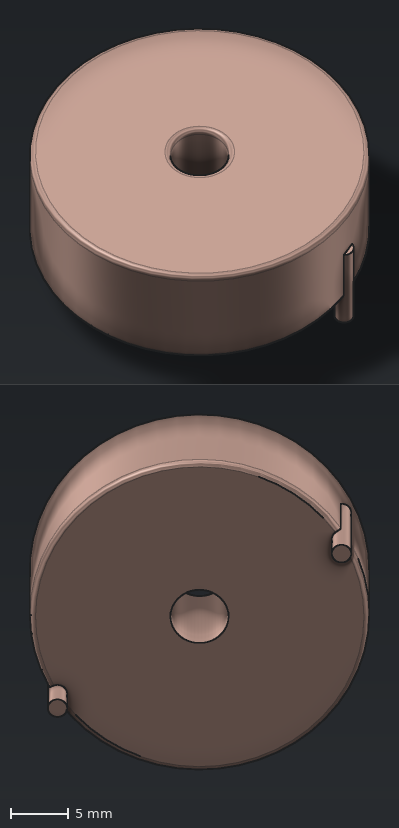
import cadquery as cq

body_diameter = 29.8
body_height = 10.5
edge_radius = 0.5

hole_diameter = 5.1

pin_diameter = 1.7
pin_span = 30.7
pin_drop = 3.1
pin_top = 5.7
pin_offset = (pin_span - pin_diameter) / 2


def make_body():
    """Disc with a through hole; both outer rims and the upper hole rim are rounded."""
    disc = cq.Workplane("XY").circle(body_diameter / 2).extrude(body_height)
    disc = disc.edges().fillet(edge_radius)
    bore = cq.Workplane("XY").circle(hole_diameter / 2).extrude(body_height)
    upper_hole_rim = cq.selectors.RadiusNthSelector(0)
    return disc.cut(bore).faces(">Z").edges(upper_hole_rim).fillet(edge_radius)


def make_pins():
    """Vertical pins on opposite sides of the body along X."""
    return (
        cq.Workplane("XY", origin=(0, 0, -pin_drop))
        .pushPoints([(-pin_offset, 0), (pin_offset, 0)])
        .circle(pin_diameter / 2)
        .extrude(pin_drop + pin_top)
    )


result = make_body().union(make_pins())